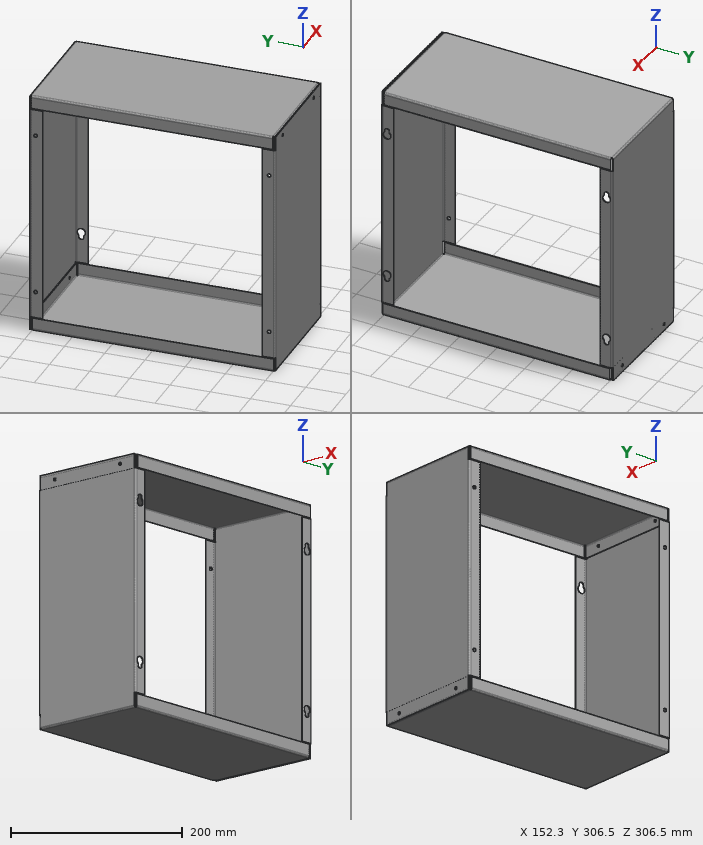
import cadquery as cq
import math

WIDTH = 152.3
SIDE = 306.5

SHEET = 1.38
BEND_RADIUS = 2.35
FLANGE_DEPTH = 16.5
FLANGE_GAP = 1.2
TAB_HEIGHT = 17.5

WALL_HOLE = 3.7
TAB_HOLE = 3.5
JOINT_SPAN = 102.3
JOINT_INSET = 8.5

ACCESS_HOLE = 4.3
MOUNT_SPAN = 204.0
MOUNT_INSET = 8.0
KEYHOLE_HEAD = 10.0
KEYHOLE_SLOT = 6.0
KEYHOLE_OFFSET = 6.0

HALF_WIDTH = WIDTH / 2
HALF_SIDE = SIDE / 2
HALF_PANEL = HALF_WIDTH - BEND_RADIUS
TAB_FACE = HALF_SIDE - SHEET
DRILL_DEPTH = 2 * SHEET
DRILL_LEAD = SHEET / 2

BEND_MID_OUTER = BEND_RADIUS * (1 - math.sqrt(0.5))
BEND_MID_INNER = BEND_RADIUS - (BEND_RADIUS - SHEET) * math.sqrt(0.5)


def folded_strip():
    """Wall at -Y, base at -Z and fixing tab near +Y: one strip bent twice."""
    wall, base, tab = -HALF_SIDE, -HALF_SIDE, TAB_FACE
    bend_top = base + BEND_RADIUS
    tab_top = base + TAB_HEIGHT
    return (
        cq.Workplane("YZ")
        .moveTo(wall, HALF_SIDE)
        .lineTo(wall, bend_top)
        .threePointArc((wall + BEND_MID_OUTER, base + BEND_MID_OUTER), (wall + BEND_RADIUS, base))
        .lineTo(tab - BEND_RADIUS, base)
        .threePointArc((tab - BEND_MID_OUTER, base + BEND_MID_OUTER), (tab, bend_top))
        .lineTo(tab, tab_top)
        .lineTo(tab - SHEET, tab_top)
        .lineTo(tab - SHEET, bend_top)
        .threePointArc((tab - BEND_MID_INNER, base + BEND_MID_INNER), (tab - BEND_RADIUS, base + SHEET))
        .lineTo(wall + BEND_RADIUS, base + SHEET)
        .threePointArc((wall + BEND_MID_INNER, base + BEND_MID_INNER), (wall + SHEET, bend_top))
        .lineTo(wall + SHEET, HALF_SIDE)
        .close()
        .extrude(HALF_PANEL, both=True)
    )


def edge_flange(start, end):
    """Bend and flange on the base's -X edge, running from y = start to y = end."""
    side, base = -HALF_WIDTH, -HALF_SIDE
    bend_top = base + BEND_RADIUS
    flange_top = base + FLANGE_DEPTH
    return (
        cq.Workplane("XZ", origin=(0, end, 0))
        .moveTo(side + BEND_RADIUS, base)
        .threePointArc((side + BEND_MID_OUTER, base + BEND_MID_OUTER), (side, bend_top))
        .lineTo(side, flange_top)
        .lineTo(side + SHEET, flange_top)
        .lineTo(side + SHEET, bend_top)
        .threePointArc((side + BEND_MID_INNER, base + BEND_MID_INNER), (side + BEND_RADIUS, base + SHEET))
        .close()
        .extrude(end - start)
    )


def side_flanges():
    """The four flanges of a shell: base and wall, each on its -X and +X edges."""
    base_flange = edge_flange(-HALF_SIDE + BEND_RADIUS, TAB_FACE - BEND_RADIUS)
    wall_reach = HALF_SIDE - FLANGE_DEPTH - FLANGE_GAP
    wall_flange = edge_flange(-wall_reach, wall_reach).rotate((0, 0, 0), (1, 0, 0), -90)
    near_side = [base_flange, wall_flange]
    far_side = [flange.mirror("YZ") for flange in near_side]
    return near_side + far_side


def drill_y(x, skin_y, z, diameter, inward):
    """Cutter along Y through one sheet; inward is the sign of Y pointing into the box."""
    start = (x, skin_y - inward * DRILL_LEAD, z)
    return cq.Workplane("XZ", origin=start).circle(diameter / 2).extrude(-inward * DRILL_DEPTH)


def joint_holes():
    """Screw holes at the wall's free end and in the tab."""
    holes = []
    for x in (-JOINT_SPAN / 2, JOINT_SPAN / 2):
        holes.append(drill_y(x, -HALF_SIDE, HALF_SIDE - JOINT_INSET, WALL_HOLE, 1))
        holes.append(drill_y(x, TAB_FACE, -HALF_SIDE + JOINT_INSET, TAB_HOLE, -1))
    return holes


def keyhole(y, z, toward):
    """Keyhole cutter for the +X flange; its wide end lies on the side given by the sign toward."""
    skin = HALF_WIDTH - SHEET - DRILL_LEAD
    head_z = z + toward * KEYHOLE_OFFSET
    head = cq.Workplane("YZ", origin=(skin, y, head_z)).circle(KEYHOLE_HEAD / 2).extrude(DRILL_DEPTH)
    slot = (
        cq.Workplane("YZ", origin=(skin, y, (z + head_z) / 2))
        .slot2D(KEYHOLE_OFFSET + KEYHOLE_SLOT, KEYHOLE_SLOT, 90)
        .extrude(DRILL_DEPTH)
    )
    return head.union(slot)


def mounting_holes():
    """Round access holes at -X, each facing the narrow end of a keyhole at +X."""
    y = -HALF_SIDE + MOUNT_INSET
    holes = []
    for end in (-1, 1):
        z = end * MOUNT_SPAN / 2
        access = cq.Workplane("YZ", origin=(-HALF_WIDTH - DRILL_LEAD, y, z))
        holes.append(access.circle(ACCESS_HOLE / 2).extrude(DRILL_DEPTH))
        holes.append(keyhole(y, z, -end))
    return holes


def build_shell():
    """One half of the box frame: wall, base, tab and flanges in a single folded sheet."""
    shell = folded_strip()
    for flange in side_flanges():
        shell = shell.union(flange)
    for hole in joint_holes() + mounting_holes():
        shell = shell.cut(hole)
    return shell


shells = []
for turn in (0, 180):
    shell = build_shell().rotate((0, 0, 0), (1, 0, 0), turn)
    shells.append(shell.val())

result = cq.Compound.makeCompound(shells)